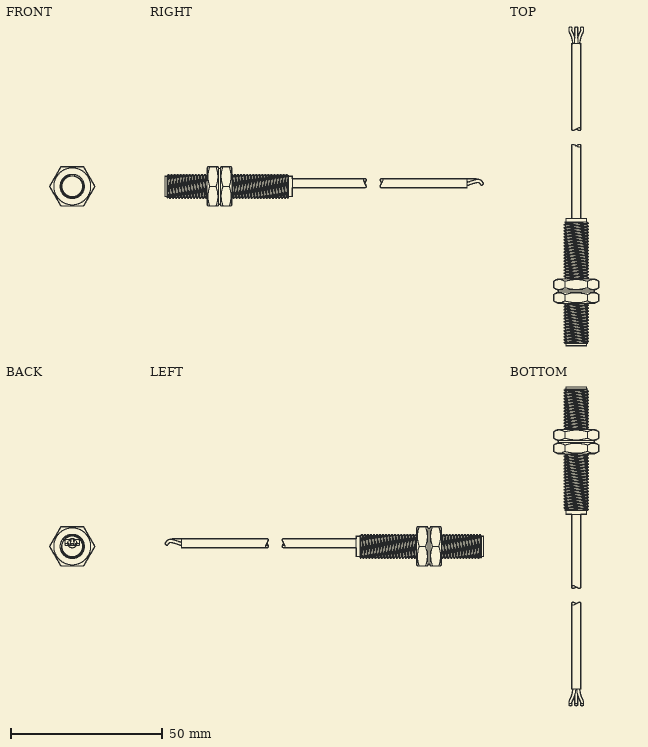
import cadquery as cq
import math

total_length = 105.3

barrel_length = 42.1
thread_diameter = 8.0
core_diameter = 6.8
thread_end_diameter = 7.4
thread_start = 0.7
thread_end = 40.9
thread_pitch = thread_diameter / 8
crest_width = thread_pitch / 8
root_width = thread_pitch / 16

nut_across_flats = thread_diameter * 13 / 8
nut_across_corners = nut_across_flats / math.cos(math.radians(30))
nut_face_diameter = 12.2
nut_chamfer_angle = 30.0
nut_stack_start = 14.0
nut_stack_length = 8.1
washer_thickness = 0.6
washer_diameter = 11.9
nut_thickness = (nut_stack_length - washer_thickness) / 2
second_nut_start = nut_stack_start + nut_thickness + washer_thickness

cable_diameter = 3.1
cable_radius = cable_diameter / 2
cable_height = 1.1
break_start = 66.6
break_end = 71.1
jacket_end = 99.8
break_depth = 1.0
cutter_half_width = 2.1
cutter_length = 3.2

wire_radius = 0.5
wire_embed = 0.5
outer_root_offset = 0.5
outer_bend_offset = 1.4
outer_tip_offset = 1.9
middle_root_height = 2.0
outer_root_height = 0.6
bend_y = 102.8
middle_bend_height = 2.0
outer_bend_height = 1.7
shoulder_y = 104.0
shoulder_height = 1.7
tip_height = 0.6
tip_slope = 45.0
tip_y = total_length - wire_radius * math.sin(math.radians(tip_slope))


def rod(radius, start, end, height=0.0):
    """Cylinder along Y between two stations, its axis at the given height."""
    base = cq.Plane(origin=(0, start, height), xDir=(0, 0, 1), normal=(0, 1, 0))
    return cq.Workplane(base).circle(radius).extrude(end - start)


def helix_turn(radius, height):
    """One right-hand turn of helix about Z, starting over the +X axis at the given height."""
    return cq.Wire.makeHelix(thread_pitch, thread_pitch, radius, center=cq.Vector(0, 0, height)).Edges()[0]


def make_thread():
    """Right-hand thread on its core, built from helical faces turn by turn and cut square at both ends."""
    root_radius = core_diameter / 2
    crest_radius = thread_diameter / 2
    flank_width = (thread_pitch - crest_width - root_width) / 2
    helix_start = thread_start - thread_pitch
    turns = math.ceil((thread_end - helix_start) / thread_pitch) + 1
    helix_length = turns * thread_pitch
    tooth = [
        (root_radius, 0),
        (crest_radius, flank_width),
        (crest_radius, flank_width + crest_width),
        (root_radius, thread_pitch - root_width),
        (root_radius, thread_pitch),
    ]
    faces = []
    for turn in range(turns - 1):
        helices = [helix_turn(radius, turn * thread_pitch + advance) for radius, advance in tooth]
        for lower, upper in zip(helices, helices[1:]):
            faces.append(cq.Face.makeRuledSurface(lower, upper))

    last_turn = helix_length - thread_pitch
    for disc_height, tooth_height in [(0, 0), (helix_length, last_turn)]:
        rim = cq.Edge.makeCircle(root_radius, cq.Vector(0, 0, disc_height))
        tooth_points = [cq.Vector(radius, 0, tooth_height + advance) for radius, advance in tooth[:4]]
        tooth_points.append(cq.Vector(root_radius, 0, tooth_height + thread_pitch))
        faces.append(cq.Face.makeRuledSurface(rim, helix_turn(root_radius, tooth_height)))
        faces.append(cq.Face.makeFromWires(cq.Wire.assembleEdges([rim])))
        faces.append(cq.Face.makeFromWires(cq.Wire.makePolygon(tooth_points, close=True)))

    thread = cq.Workplane(obj=cq.Solid.makeSolid(cq.Shell.makeShell(faces)).fix())
    thread = thread.rotate((0, 0, 0), (1, 0, 0), -90).rotate((0, 0, 0), (0, 1, 0), -90)
    thread = thread.translate((0, helix_start, 0))
    envelope_radius = thread_diameter
    envelope = rod(envelope_radius, thread_start, thread_end)
    envelope = envelope.edges("%CIRCLE").chamfer(envelope_radius - thread_end_diameter / 2)
    return thread.intersect(envelope, clean=False)


def make_nut(start):
    """Hexagon nut with its corners turned down to a cone on both faces."""
    hexagon = cq.Workplane("XZ", origin=(0, start, 0)).polygon(6, nut_across_corners).extrude(-nut_thickness)
    corner_radius = nut_across_corners / 2
    face_radius = nut_face_diameter / 2
    cone_height = (corner_radius - face_radius) * math.tan(math.radians(nut_chamfer_angle))
    end = start + nut_thickness
    turned = cq.Workplane("XY").polyline([
        (0, start),
        (face_radius, start),
        (corner_radius, start + cone_height),
        (corner_radius, end - cone_height),
        (face_radius, end),
        (0, end),
    ]).close().revolve(360, (0, 0), (0, 1))
    return hexagon.intersect(turned)


def make_break_cutter(station, direction):
    """Block with one saddle face at a broken cable end, reaching away along +Y or -Y."""
    saddle_rate = break_depth / cable_radius ** 2
    corner_rise = direction * saddle_rate * cutter_half_width ** 2
    middle = station - direction * break_depth / 2
    far = station + direction * cutter_length
    near_corners = []
    far_corners = []
    for side_x, side_z in [(-1, -1), (1, -1), (1, 1), (-1, 1)]:
        x = side_x * cutter_half_width
        z = side_z * cutter_half_width + cable_height
        near_corners.append(cq.Vector(x, middle - side_x * side_z * corner_rise, z))
        far_corners.append(cq.Vector(x, far, z))
    saddle = cq.Face.makeRuledSurface(
        cq.Edge.makeLine(near_corners[0], near_corners[1]),
        cq.Edge.makeLine(near_corners[3], near_corners[2]),
    )
    faces = [saddle, cq.Face.makeFromWires(cq.Wire.makePolygon(far_corners, close=True))]
    for i in range(4):
        j = (i + 1) % 4
        side = [near_corners[i], near_corners[j], far_corners[j], far_corners[i]]
        faces.append(cq.Face.makeFromWires(cq.Wire.makePolygon(side, close=True)))
    return cq.Workplane(obj=cq.Solid.makeSolid(cq.Shell.makeShell(faces)).fix())


def make_wire(side, root_height, bend_height):
    """Round wire curving from inside the cable down to its tip; side is -1, 0 or 1 across X."""
    root = cq.Vector(side * outer_root_offset, jacket_end - wire_embed, root_height)
    bend = cq.Vector(side * outer_bend_offset, bend_y, bend_height)
    shoulder = cq.Vector(side * outer_tip_offset, shoulder_y, shoulder_height)
    tip = cq.Vector(side * outer_tip_offset, tip_y, tip_height)
    root_direction = bend - root
    slope = math.radians(tip_slope)
    tip_direction = cq.Vector(0, math.cos(slope), -math.sin(slope))
    path = cq.Workplane("XY").spline([root, bend, shoulder, tip], tangents=[root_direction, tip_direction])
    section = cq.Plane(origin=root, normal=root_direction)
    return cq.Workplane(section).circle(wire_radius).sweep(path)


def make_sensor():
    """Threaded barrel, nuts, washer and cable stub as one body."""
    stub = rod(cable_radius, barrel_length, break_start, cable_height)
    parts = [
        make_thread(),
        make_nut(nut_stack_start),
        rod(washer_diameter / 2, nut_stack_start + nut_thickness, second_nut_start),
        make_nut(second_nut_start),
        rod(core_diameter / 2, thread_end, barrel_length),
        stub.cut(make_break_cutter(break_start, 1)),
    ]
    body = rod(core_diameter / 2, 0, thread_start)
    for part in parts:
        body = body.union(part, clean=False)
    return body


def make_cable_end():
    """Far length of cable with its bare wires as one body."""
    body = rod(cable_radius, break_end, jacket_end, cable_height)
    body = body.cut(make_break_cutter(break_end, -1))
    body = body.union(make_wire(0, middle_root_height, middle_bend_height))
    for side in (-1, 1):
        body = body.union(make_wire(side, outer_root_height, outer_bend_height))
    return body


sensor = make_sensor()
cable_end = make_cable_end()

result = cq.Compound.makeCompound([sensor.val(), cable_end.val()])